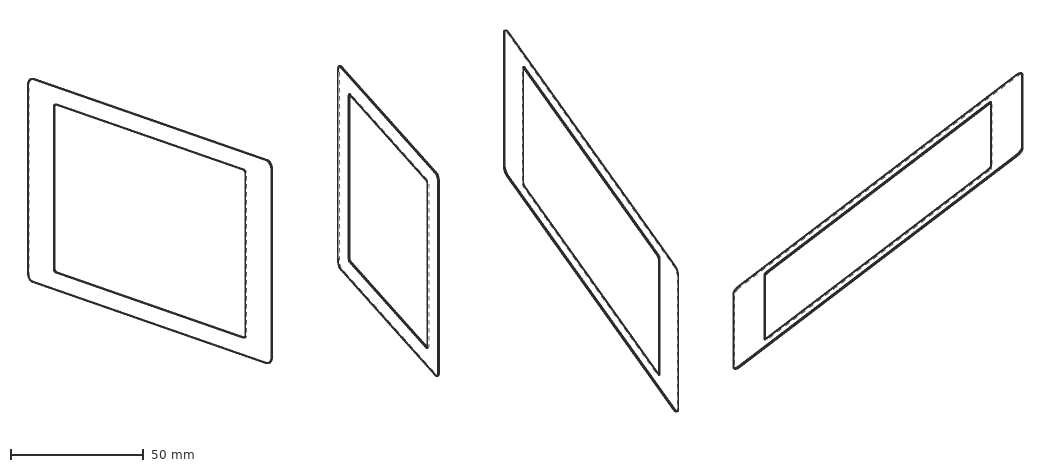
import cadquery as cq

frame_width = 140.8
frame_height = 80.2
thickness = 0.5
outer_corner_radius = 3.0

side_border = 15.0
end_border = 6.9
window_width = frame_width - 2 * side_border
window_height = frame_height - 2 * end_border
window_corner_radius = 1.1


def rounded_plate(width, height, corner_radius):
    """Thin plate centred on the origin, with corners rounded about Y."""
    plate = cq.Workplane("XY").box(width, thickness, height)
    return plate.edges("|Y").fillet(corner_radius)


frame = rounded_plate(frame_width, frame_height, outer_corner_radius)
window = rounded_plate(window_width, window_height, window_corner_radius)
result = frame.cut(window)